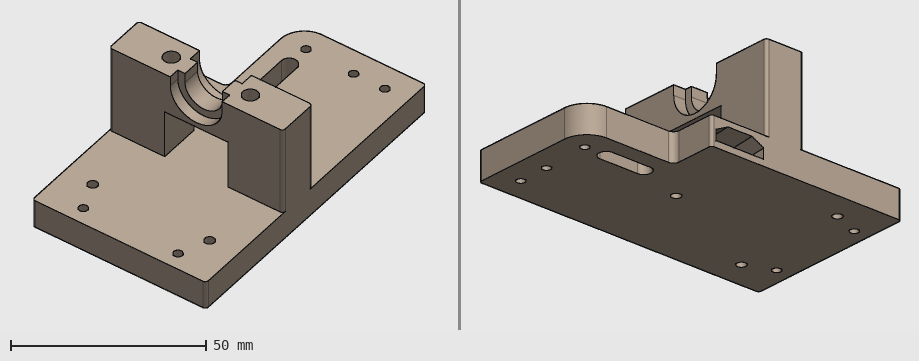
import cadquery as cq

WIDTH = 55.0
LENGTH = 95.5
PLATE_HEIGHT = 9.0
HALF_WIDTH = WIDTH / 2
CORNER_RADIUS = 1.0

NOTCH_X = -13.1
NOTCH_Y = 64.8
NOTCH_RADIUS = 1.9
TONGUE_RADIUS = 7.6

TOTAL_HEIGHT = 37.0
WALL_FRONT = 33.4
WALL_BACK = 46.1
WINDOW_WIDTH = 20.0
WINDOW_TOP = 24.2

SEAT_Z = 33.9
SADDLE_DIAMETER = 11.8
RECESS_DIAMETER = 16.4
SADDLE_FRONT = 36.7
SADDLE_BACK = 42.1

BOLT_X = 12.5
BOLT_Y = (WALL_FRONT + WALL_BACK) / 2
BOLT_DIAMETER = 3.5
BOLT_DEPTH = 11.5
INSERT_DIAMETER = 4.7
INSERT_DEPTH = 5.7

SMALL_DIAMETER = 2.7
LARGE_DIAMETER = 3.0
SLOT_X = -5.4
SLOT_WIDTH = 4.9
SLOT_FRONT = 66.0
SLOT_BACK = 83.7
REAR_HOLE_Y = 88.0
SMALL_HOLES = [(SLOT_X, 88.5), (10.0, REAR_HOLE_Y), (20.0, REAR_HOLE_Y), (-15.0, 5.0), (15.0, 5.0)]
LARGE_HOLES = [(0, 52.5), (-18.5, 13.8), (18.5, 13.8)]

POCKET_Y = 55.1
POCKET_WIDTH = 16.2
POCKET_ROOF_WIDTH = 8.2
POCKET_FLOOR = 2.0
POCKET_SHOULDER = 5.3
POCKET_ROOF = 7.3
POCKET_DEPTH = 22.9
POCKET_ROOF_DROP = 2.1


def box_between(low, high):
    """Box spanning two opposite corners."""
    size = [b - a for a, b in zip(low, high)]
    return cq.Workplane("XY").box(*size, centered=False).translate(low)


def make_plate():
    plate = box_between((-HALF_WIDTH, 0, 0), (HALF_WIDTH, LENGTH, PLATE_HEIGHT))
    plate = plate.cut(box_between((-HALF_WIDTH, NOTCH_Y, 0), (NOTCH_X, LENGTH, PLATE_HEIGHT)))

    def round_edge(body, x, y, radius):
        edge = cq.selectors.NearestToPointSelector((x, y, PLATE_HEIGHT / 2))
        return body.edges("|Z").edges(edge).fillet(radius)

    plate = round_edge(plate, NOTCH_X, NOTCH_Y, NOTCH_RADIUS)
    plate = round_edge(plate, NOTCH_X, LENGTH, TONGUE_RADIUS)
    for x, y in [(-HALF_WIDTH, 0), (HALF_WIDTH, 0), (HALF_WIDTH, LENGTH), (-HALF_WIDTH, NOTCH_Y)]:
        plate = round_edge(plate, x, y, CORNER_RADIUS)
    return plate


def make_wall():
    wall = box_between(
        (-HALF_WIDTH, WALL_FRONT, PLATE_HEIGHT),
        (HALF_WIDTH, WALL_BACK, TOTAL_HEIGHT),
    )
    wall = wall.edges("|Z").fillet(CORNER_RADIUS)
    return wall.cut(
        box_between(
            (-WINDOW_WIDTH / 2, WALL_FRONT, PLATE_HEIGHT),
            (WINDOW_WIDTH / 2, WALL_BACK, WINDOW_TOP),
        )
    )


def seat_cutter(diameter, front, back):
    """U-shaped channel along Y, open at the top of the wall."""
    radius = diameter / 2
    return (
        cq.Workplane("XZ", origin=(0, front, 0))
        .moveTo(-radius, TOTAL_HEIGHT)
        .lineTo(-radius, SEAT_Z)
        .threePointArc((0, SEAT_Z - radius), (radius, SEAT_Z))
        .lineTo(radius, TOTAL_HEIGHT)
        .close()
        .extrude(front - back)
    )


def bolt_cutter(diameter, depth):
    return (
        cq.Workplane("XY", origin=(0, 0, TOTAL_HEIGHT))
        .pushPoints([(-BOLT_X, BOLT_Y), (BOLT_X, BOLT_Y)])
        .circle(diameter / 2)
        .extrude(-depth)
    )


def plate_hole_cutter(points, diameter):
    return cq.Workplane("XY").pushPoints(points).circle(diameter / 2).extrude(PLATE_HEIGHT)


def slot_cutter():
    return (
        cq.Workplane("XY")
        .center(SLOT_X, (SLOT_FRONT + SLOT_BACK) / 2)
        .slot2D(SLOT_BACK - SLOT_FRONT, SLOT_WIDTH, 90)
        .extrude(PLATE_HEIGHT)
    )


def pocket_cutter():
    half = POCKET_WIDTH / 2
    half_roof = POCKET_ROOF_WIDTH / 2

    def section(depth, drop):
        outline = [
            (-half, POCKET_FLOOR),
            (half, POCKET_FLOOR),
            (half, POCKET_SHOULDER - drop),
            (half_roof, POCKET_ROOF - drop),
            (-half_roof, POCKET_ROOF - drop),
            (-half, POCKET_SHOULDER - drop),
        ]
        corners = [cq.Vector(depth - HALF_WIDTH, POCKET_Y + y, z) for y, z in outline]
        return cq.Wire.makePolygon(corners, close=True)

    mouth = section(0, 0)
    end = section(POCKET_DEPTH, POCKET_ROOF_DROP)
    return cq.Workplane("XY").add(cq.Solid.makeLoft([mouth, end], True))


result = (
    make_plate()
    .union(make_wall())
    .cut(seat_cutter(RECESS_DIAMETER, WALL_FRONT, SADDLE_FRONT))
    .cut(seat_cutter(SADDLE_DIAMETER, WALL_FRONT, WALL_BACK))
    .cut(seat_cutter(RECESS_DIAMETER, SADDLE_BACK, WALL_BACK))
    .cut(bolt_cutter(INSERT_DIAMETER, INSERT_DEPTH))
    .cut(bolt_cutter(BOLT_DIAMETER, BOLT_DEPTH))
    .cut(plate_hole_cutter(SMALL_HOLES, SMALL_DIAMETER))
    .cut(plate_hole_cutter(LARGE_HOLES, LARGE_DIAMETER))
    .cut(slot_cutter())
    .cut(pocket_cutter())
)